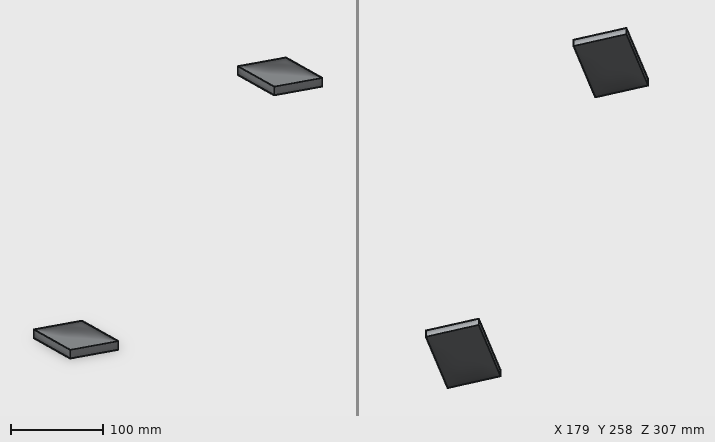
import cadquery as cq

plate_length = 80.0
plate_width = 60.0
plate_thickness = 10.0

step = 99.0
upper_plate_offset = (step, 2 * step, 3 * step)
plate_positions = [(0, 0, 0), upper_plate_offset]


def make_plate(position):
    """Plain rectangular plate with its lowest corner at the given position."""
    plate = cq.Workplane("XY").box(plate_length, plate_width, plate_thickness, centered=False)
    return plate.translate(position)


plates = [make_plate(position) for position in plate_positions]

result = cq.Compound.makeCompound([plate.val() for plate in plates])